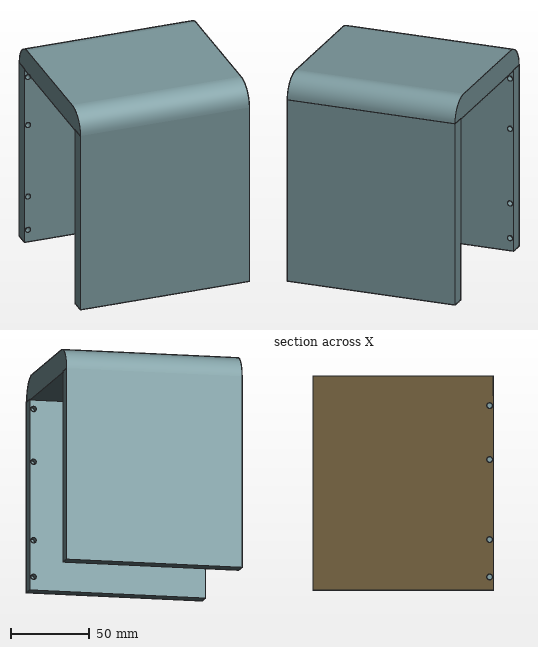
import cadquery as cq

width = 111.7
depth = 115.0
height = 139.0

slab_thickness = 15.5
corner_radius = 15.0
side_setback = 0.1
front_setback = 0.1

leg_thickness = 10.0
leg_height = height - corner_radius

hole_diameter = 3.5
hole_depth = 5.5
hole_edge_distance = 2.5
hole_heights = (8.6, 32.4, 83.4, 117.7)

leg_inner_x = width / 2 - leg_thickness
front_y = -depth / 2


def make_slab():
    slab_width = width - side_setback
    slab_depth = depth - front_setback
    slab = cq.Workplane("XY").box(slab_width, slab_depth, slab_thickness, centered=(True, True, False))
    slab = slab.edges("|Y and >Z").fillet(corner_radius)
    return slab.translate((side_setback / 2, front_setback / 2, height - slab_thickness))


def make_leg(side):
    """Side panel; side is -1 for the left one and 1 for the right one."""
    leg = cq.Workplane("XY").box(leg_thickness, depth, leg_height, centered=(True, True, False))
    leg = leg.translate((side * (width - leg_thickness) / 2, 0, 0))
    return leg


def make_holes(side):
    """Blind holes bored outwards from the inner face of one panel."""
    hole_y = front_y + hole_edge_distance
    holes = cq.Workplane("YZ", origin=(side * leg_inner_x, 0, 0))
    holes = holes.pushPoints([(hole_y, z) for z in hole_heights])
    return holes.circle(hole_diameter / 2).extrude(side * hole_depth)


result = make_slab()
for side in (-1, 1):
    result = result.union(make_leg(side))
for side in (-1, 1):
    result = result.cut(make_holes(side))